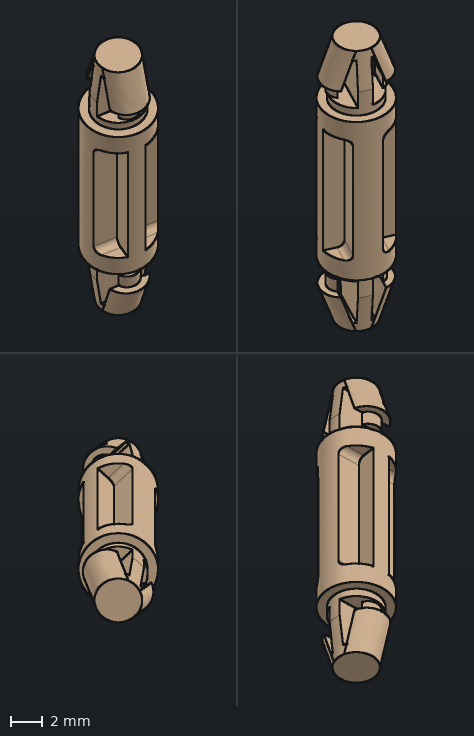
import cadquery as cq

total_length = 22.5
body_diameter = 5.0
body_length = 12.7
collar_diameter = 3.7
collar_height = 0.6

pocket_end_margin = 1.5
pocket_length = body_length - 2 * pocket_end_margin
pocket_corner_radius = 0.5
core_half_width = 1.0
web_half_thickness = 0.63

post_width = 1.0
tip_diameter = 3.0
barb_height = 3.0
cap_height = 0.75
stub_length = 1.0
stub_thickness = 0.5
stub_half_width = 0.79

half_length = total_length / 2
half_body = body_length / 2
body_radius = body_diameter / 2
tip_radius = tip_diameter / 2
barb_base_z = half_length - barb_height
collar_top_z = half_body + collar_height

arm_spread = body_radius - tip_radius
arm_inner_top = post_width / 2
arm_inner_base = arm_inner_top + arm_spread


def make_pocketed_body():
    body = cq.Workplane("XY").circle(body_radius).extrude(half_body, both=True)
    pocket = (
        cq.Workplane("XY")
        .box(body_radius, body_radius, pocket_length, centered=(False, False, True))
        .edges("<X and |Y")
        .fillet(pocket_corner_radius)
        .translate((core_half_width, web_half_thickness, 0))
    )
    pocket_pair = pocket.union(pocket.mirror("YZ"))
    return body.cut(pocket_pair).cut(pocket_pair.mirror("XZ"))


def make_post():
    """Collar, flat post and the flared cap that joins the arm roots."""
    collar = cq.Workplane("XY", origin=(0, 0, half_body)).circle(collar_diameter / 2).extrude(collar_height)
    envelope = (
        cq.Workplane("XZ")
        .moveTo(0, collar_top_z)
        .lineTo(collar_diameter / 2, collar_top_z)
        .lineTo(collar_diameter / 2, barb_base_z)
        .lineTo(tip_radius, half_length)
        .lineTo(0, half_length)
        .close()
        .revolve(360, (0, 0, 0), (0, 1, 0))
    )
    cap_z = half_length - cap_height
    cap_half_width = arm_inner_top + arm_spread * cap_height / barb_height
    profile = (
        cq.Workplane("XZ")
        .moveTo(post_width / 2, collar_top_z)
        .lineTo(post_width / 2, cap_z)
        .lineTo(cap_half_width, cap_z)
        .lineTo(arm_inner_top, half_length)
        .lineTo(-arm_inner_top, half_length)
        .lineTo(-cap_half_width, cap_z)
        .lineTo(-post_width / 2, cap_z)
        .lineTo(-post_width / 2, collar_top_z)
        .close()
        .extrude(body_radius, both=True)
    )
    return collar.union(envelope.intersect(profile))


def make_arm():
    """Slanted round arm on the -X side, with the stub below its toe."""
    slanted_cylinder = (
        cq.Workplane("XY", origin=(-arm_spread, 0, barb_base_z))
        .circle(tip_radius)
        .workplane(offset=barb_height)
        .center(arm_spread, 0)
        .circle(tip_radius)
        .loft(ruled=True)
    )
    outer_side = (
        cq.Workplane("XZ")
        .moveTo(-arm_inner_base, barb_base_z)
        .lineTo(-body_diameter, barb_base_z)
        .lineTo(-body_diameter, half_length)
        .lineTo(-arm_inner_top, half_length)
        .close()
        .extrude(body_radius, both=True)
    )
    stub = (
        cq.Workplane("XY", origin=(0, 0, barb_base_z - stub_length))
        .moveTo(-arm_inner_base, -stub_half_width)
        .threePointArc(
            (-arm_inner_base - stub_thickness, 0),
            (-arm_inner_base, stub_half_width),
        )
        .close()
        .extrude(stub_length)
    )
    return slanted_cylinder.intersect(outer_side).union(stub)


arm = make_arm()
head = make_post().union(arm).union(arm.mirror("YZ"))
result = make_pocketed_body().union(head).union(head.mirror("XY"))